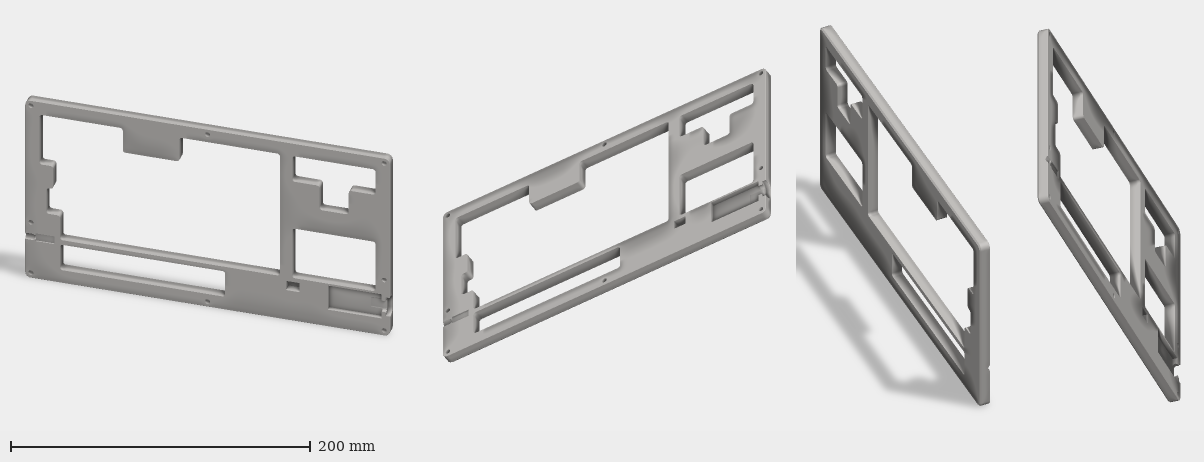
import cadquery as cq
WIDTH = 254.31
HEIGHT = 140.01
THICKNESS = 7.5
CORNER_RADIUS = 4.0
BACK_CHAMFER = 1.0

SIDE_CHAMFER = 0.2

RAIL = 10.0
WINDOW_RADIUS = 2.0
WINDOW_TOP = HEIGHT - RAIL

MAIN_RIGHT = 177.65
MAIN_BOTTOM = 33.7
TAB_LEFT = 68.05
TAB_RIGHT = 107.6
TAB_BOTTOM = 111.0
LEDGE_X = 19.5
LEDGE_TOP = 90.85
LEDGE_BOTTOM = 72.9
NOTCH_X = 14.8
NOTCH_BOTTOM = 52.8
LOWER_X = 24.3

SLOT_RIGHT = 139.45
SLOT_TOP = 30.05

SIDE_LEFT = 186.25
SIDE_RIGHT = WIDTH - RAIL
T_ARM_BOTTOM = 109.95
T_STEM_LEFT = 205.25
T_STEM_RIGHT = 225.6
T_STEM_BOTTOM = 90.95
RECT_TOP = 72.85

HOLE_DIAMETER = 3.5
HOLE_DEPTH = 6.0
HOLE_INSET = 4.0
MID_HOLE_Z = 43.85

SWITCH_LEFT = 181.9
SWITCH_BOTTOM = 23.3
SWITCH_WIDTH = 9.2
SWITCH_HEIGHT = 7.2
SWITCH_DEPTH = 6.0

JACK_Z = 32.5
JACK_AXIS_SETBACK = -1.2
JACK_MOUTH_RADIUS = 2.7
JACK_MOUTH_END = 5.7
JACK_NECK_RADIUS = 2.1
JACK_NECK_START = 6.5
JACK_POCKET_LEFT = 7.3
JACK_POCKET_WIDTH = 13.0
JACK_POCKET_BOTTOM = 29.6
JACK_POCKET_HEIGHT = 6.1
JACK_POCKET_DEPTH = 1.0

BOARD_LEFT = 211.1
BOARD_RIGHT = 248.3
BOARD_BOTTOM = 13.2
BOARD_HEIGHT = 19.05
BOARD_DEPTH = 3.3
USB_Z = 22.9
USB_PLUG_LEFT = 240.2
USB_FLAT = 6.25
USB_AXIS_DEPTH = 1.5
USB_PLUG_RADIUS = 1.95
USB_LIP_RADIUS = 2.25
USB_LIP_LEFT = 251.1
USB_RECESS_RADIUS = 4.5
USB_RECESS_LEFT = 251.25


def rectangle(left, bottom, right, top):
    return [(left, bottom), (right, bottom), (right, top), (left, top)]


def front_block(points, depth):
    """Solid with the given X-Z outline, running from the front face to a depth along +Y."""
    return cq.Workplane("XZ").polyline(points).close().extrude(-depth)


def window(points):
    """Through-cutter with rounded corners."""
    return front_block(points, THICKNESS).edges("|Y").fillet(WINDOW_RADIUS)


def plate():
    body = front_block(rectangle(0, 0, WIDTH, HEIGHT), THICKNESS).edges("|Y").fillet(CORNER_RADIUS)
    return body.faces(">Y").chamfer(BACK_CHAMFER)


def windows():
    main = window([
        (RAIL, WINDOW_TOP),
        (TAB_LEFT, WINDOW_TOP),
        (TAB_LEFT, TAB_BOTTOM),
        (TAB_RIGHT, TAB_BOTTOM),
        (TAB_RIGHT, WINDOW_TOP),
        (MAIN_RIGHT, WINDOW_TOP),
        (MAIN_RIGHT, MAIN_BOTTOM),
        (LOWER_X, MAIN_BOTTOM),
        (LOWER_X, NOTCH_BOTTOM),
        (NOTCH_X, NOTCH_BOTTOM),
        (NOTCH_X, LEDGE_BOTTOM),
        (LEDGE_X, LEDGE_BOTTOM),
        (LEDGE_X, LEDGE_TOP),
        (RAIL, LEDGE_TOP),
    ])
    tee = window([
        (SIDE_LEFT, WINDOW_TOP),
        (SIDE_RIGHT, WINDOW_TOP),
        (SIDE_RIGHT, T_ARM_BOTTOM),
        (T_STEM_RIGHT, T_ARM_BOTTOM),
        (T_STEM_RIGHT, T_STEM_BOTTOM),
        (T_STEM_LEFT, T_STEM_BOTTOM),
        (T_STEM_LEFT, T_ARM_BOTTOM),
        (SIDE_LEFT, T_ARM_BOTTOM),
    ])
    side = window(rectangle(SIDE_LEFT, MAIN_BOTTOM, SIDE_RIGHT, RECT_TOP))
    slot = window(rectangle(LOWER_X, RAIL, SLOT_RIGHT, SLOT_TOP))
    return [main, tee, side, slot]


def screw_holes():
    left = HOLE_INSET
    right = WIDTH - HOLE_INSET
    top = HEIGHT - HOLE_INSET
    centres = [(x, z) for x in (left, WIDTH / 2, right) for z in (HOLE_INSET, top)]
    centres += [(left, MID_HOLE_Z), (right, MID_HOLE_Z)]
    return cq.Workplane("XZ").pushPoints(centres).circle(HOLE_DIAMETER / 2).extrude(-HOLE_DEPTH)


def switch_pocket():
    right = SWITCH_LEFT + SWITCH_WIDTH
    top = SWITCH_BOTTOM + SWITCH_HEIGHT
    return front_block(rectangle(SWITCH_LEFT, SWITCH_BOTTOM, right, top), SWITCH_DEPTH)


def jack_circle(radius, start):
    return cq.Workplane("YZ", origin=(start, JACK_AXIS_SETBACK, JACK_Z)).circle(radius)


def jack_channel(radius, start, end):
    return jack_circle(radius, start).extrude(end - start)


def jack_taper():
    mouth = jack_circle(JACK_MOUTH_RADIUS, JACK_MOUTH_END)
    return mouth.workplane(offset=JACK_NECK_START - JACK_MOUTH_END).circle(JACK_NECK_RADIUS).loft()


def jack_seat():
    right = JACK_POCKET_LEFT + JACK_POCKET_WIDTH
    top = JACK_POCKET_BOTTOM + JACK_POCKET_HEIGHT
    return [
        jack_channel(JACK_MOUTH_RADIUS, 0, JACK_MOUTH_END),
        jack_taper(),
        jack_channel(JACK_NECK_RADIUS, JACK_NECK_START, JACK_POCKET_LEFT),
        front_block(rectangle(JACK_POCKET_LEFT, JACK_POCKET_BOTTOM, right, top), JACK_POCKET_DEPTH),
    ]


def usb_opening(radius, start, end):
    """Rounded slot along X, long in Z."""
    opening = cq.Workplane("YZ", origin=(start, USB_AXIS_DEPTH, USB_Z))
    return opening.slot2D(USB_FLAT + 2 * radius, 2 * radius, 90).extrude(end - start)


def usb_seat():
    board = rectangle(BOARD_LEFT, BOARD_BOTTOM, BOARD_RIGHT, BOARD_BOTTOM + BOARD_HEIGHT)
    return [
        front_block(board, BOARD_DEPTH),
        usb_opening(USB_PLUG_RADIUS, USB_PLUG_LEFT, USB_LIP_LEFT),
        usb_opening(USB_LIP_RADIUS, USB_LIP_LEFT, USB_RECESS_LEFT),
        usb_opening(USB_RECESS_RADIUS, USB_RECESS_LEFT, WIDTH),
    ]


def break_side_edges(body):
    """Chamfer the +X side face along the front face and around the USB recess."""
    side_edges = body.faces(">X").edges()
    along_front = side_edges.edges("<Y")
    recess_floor = (WIDTH, USB_AXIS_DEPTH + USB_RECESS_RADIUS, USB_Z)
    floor_edge = side_edges.edges("|Z").edges(cq.selectors.NearestToPointSelector(recess_floor))
    recess_arcs = side_edges.edges("%CIRCLE")
    chosen = along_front.vals() + recess_arcs.vals() + floor_edge.vals()
    return body.newObject(chosen).chamfer(SIDE_CHAMFER)


result = plate()
for cutter in windows() + [screw_holes(), switch_pocket()] + jack_seat() + usb_seat():
    result = result.cut(cutter)
result = break_side_edges(result)